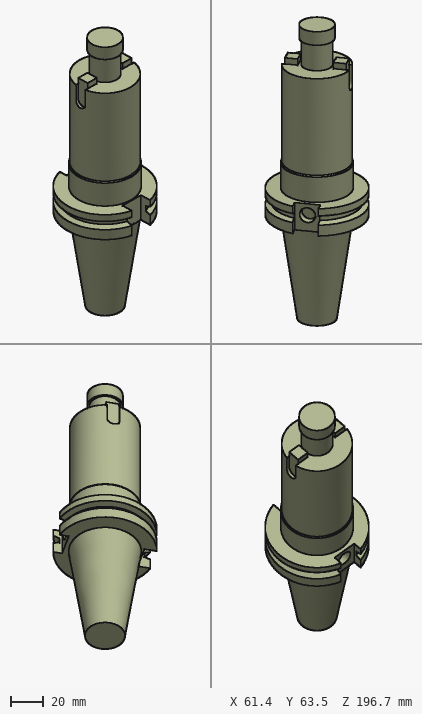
import cadquery as cq

total_height = 196.7
taper_length = 68.3
flange_bottom = 69.0
flange_top = 87.3
shoulder_bottom = 104.3
shoulder_top = 105.2
arbor_top = 170.0
head_height = 9.0
head_bottom = total_height - head_height

taper_small_diameter = 24.5
gauge_diameter = 44.5
flange_diameter = 63.5
arbor_diameter = 43.3
neck_diameter = 19.5
head_diameter = 22.0

groove_root_diameter = 55.9
lower_rim_height = 7.3
upper_rim_height = 5.0
groove_lower_edge = flange_bottom + lower_rim_height
groove_upper_edge = flange_top - upper_rim_height
groove_wall_rise = 1.4

slot_width = 16.1
slot_floor_distances = {-1: 25.0, 1: 22.8}
slot_hole_diameter = 9.8
slot_hole_height = 79.7
slot_hole_depth = 5.9

key_width = 8.0
key_top = 174.0
key_bottom = 155.0
key_inner_distance = 11.2
key_length = 8.0


def make_turned_holder():
    """Revolve the taper, flange, arbor, neck and head about Z."""
    profile = [
        (0, 0),
        (taper_small_diameter / 2, 0),
        (gauge_diameter / 2, taper_length),
        (gauge_diameter / 2, flange_bottom),
        (flange_diameter / 2, flange_bottom),
        (flange_diameter / 2, groove_lower_edge),
        (groove_root_diameter / 2, groove_lower_edge + groove_wall_rise),
        (groove_root_diameter / 2, groove_upper_edge - groove_wall_rise),
        (flange_diameter / 2, groove_upper_edge),
        (flange_diameter / 2, flange_top),
        (gauge_diameter / 2, flange_top),
        (gauge_diameter / 2, shoulder_bottom),
        (arbor_diameter / 2, shoulder_top),
        (arbor_diameter / 2, arbor_top),
        (neck_diameter / 2, arbor_top),
        (neck_diameter / 2, head_bottom),
        (head_diameter / 2, head_bottom),
        (head_diameter / 2, total_height),
        (0, total_height),
    ]
    return cq.Workplane("XZ").polyline(profile).close().revolve(360, (0, 0), (0, 1))


def make_drive_slot(side):
    """Cutter for the flange slot on the +X (side = 1) or -X (side = -1) side."""
    floor_distance = slot_floor_distances[side]
    slot_depth = flange_diameter / 2 - floor_distance
    slot_center = side * (floor_distance + slot_depth / 2)
    return (
        cq.Workplane("XY", origin=(slot_center, 0, flange_bottom))
        .rect(slot_depth, slot_width)
        .extrude(flange_top - flange_bottom)
    )


def make_slot_hole():
    """Cutter for the blind hole in the floor of the -X drive slot."""
    return (
        cq.Workplane("YZ", origin=(-slot_floor_distances[-1], 0, slot_hole_height))
        .circle(slot_hole_diameter / 2)
        .extrude(slot_hole_depth)
    )


def make_key_shape(side, length):
    """Upright bar with a round lower end, running outward along +Y or -Y from its inner face."""
    half_width = key_width / 2
    round_center = key_bottom + half_width
    return (
        cq.Workplane("XZ", origin=(0, side * key_inner_distance, 0))
        .moveTo(-half_width, key_top)
        .lineTo(-half_width, round_center)
        .threePointArc((0, key_bottom), (half_width, round_center))
        .lineTo(half_width, key_top)
        .close()
        .extrude(-side * length)
    )


def make_holder():
    """Turned holder with its drive slots, slot hole and keyways."""
    body = make_turned_holder()
    keyway_length = arbor_diameter / 2 - key_inner_distance
    for side in (-1, 1):
        body = body.cut(make_drive_slot(side))
        body = body.cut(make_key_shape(side, keyway_length))
    return body.cut(make_slot_hole())


holder = make_holder()
drive_keys = [make_key_shape(side, key_length) for side in (-1, 1)]

result = cq.Compound.makeCompound([holder.val(), *[key.val() for key in drive_keys]])